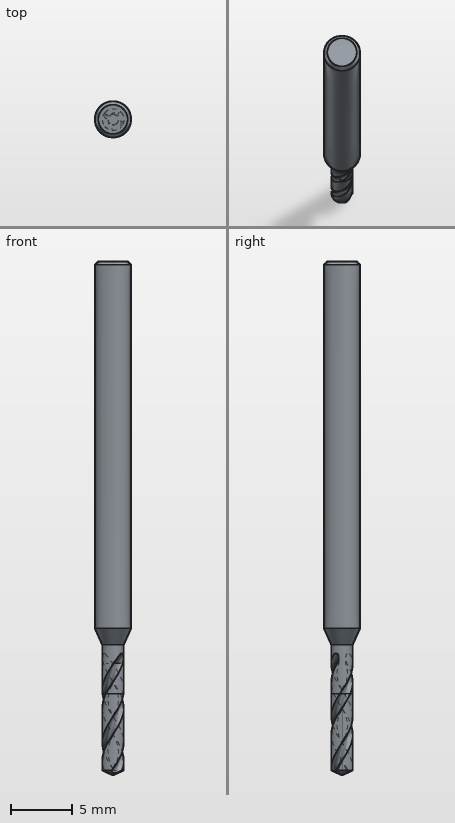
import cadquery as cq
import math

total_length = 42.0
shank_diameter = 3.0
drill_diameter = 1.75
shank_radius = shank_diameter / 2
drill_radius = drill_diameter / 2

cutter_length = 6.68
neck_top = 10.65
shank_bottom = 12.0
shank_chamfer = 0.3

point_angle = 130.0
point_height = drill_radius / math.tan(math.radians(point_angle / 2))

flute_count = 2
flute_pitch = 8.55
flute_radius = 0.45
flute_offset = drill_radius
flute_start_angle = 81.0
flute_start = -0.4
flute_helix_top = 9.15
runout_height = 1.1


def revolve_profile(outline):
    """Turn a closed outline of (radius, height) points about the Z axis."""
    return cq.Workplane("XZ").polyline(outline).close().revolve(360, (0, 0), (0, 1))


def make_flute(start_angle):
    """Helical groove tool that leaves the drill along a straight line, tangentially and outwards."""
    helix_height = flute_helix_top - flute_start
    twist = 360 * helix_height / flute_pitch
    helix = (
        cq.Workplane("XY", origin=(0, 0, flute_start))
        .pushPoints([(flute_offset, 0)])
        .circle(flute_radius)
        .twistExtrude(helix_height, twist)
    )
    tangent_shift = 2 * math.pi * flute_offset * runout_height / flute_pitch
    runout_offset = flute_offset + flute_radius
    runout = (
        cq.Workplane("XY", origin=(0, 0, flute_helix_top))
        .pushPoints([(flute_offset, 0)])
        .circle(flute_radius)
        .workplane(offset=runout_height)
        .pushPoints([(runout_offset, tangent_shift)])
        .circle(flute_radius)
        .loft(ruled=True)
        .rotate((0, 0, 0), (0, 0, 1), twist)
    )
    return [tool.rotate((0, 0, 0), (0, 0, 1), start_angle) for tool in (helix, runout)]


def cut_flutes(body):
    """Cut every flute into a body of revolution."""
    for index in range(flute_count):
        for tool in make_flute(flute_start_angle + index * 360 / flute_count):
            body = body.cut(tool)
    return body


def make_cutter():
    """Fluted cutting end with its conical point."""
    outline = [
        (0, 0),
        (drill_radius, point_height),
        (drill_radius, cutter_length),
        (0, cutter_length),
    ]
    return cut_flutes(revolve_profile(outline))


def make_shank():
    """Chamfered shank that tapers to a neck, where the flutes run out."""
    outline = [
        (0, cutter_length),
        (drill_radius, cutter_length),
        (drill_radius, neck_top),
        (shank_radius, shank_bottom),
        (shank_radius, total_length - shank_chamfer),
        (shank_radius - shank_chamfer, total_length),
        (0, total_length),
    ]
    return cut_flutes(revolve_profile(outline))


cutter = make_cutter()
shank = make_shank()
result = cq.Compound.makeCompound([cutter.val(), shank.val()])